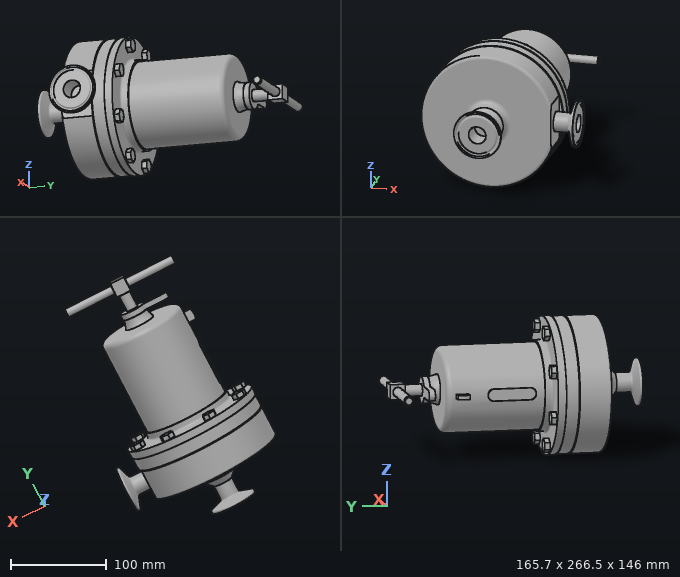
import cadquery as cq
import math


SELECTION_MARGIN = 0.3

FERRULE_RADIUS = 25.3
FERRULE_RIM = 3.0
FERRULE_SLOPE = 20.0
PIPE_RADIUS = 10.7
PIPE_FILLET = 2.0
BORE_RADIUS = 9.3
GROOVE_CENTRE_RADIUS = 21.8
GROOVE_RADIUS = 1.5
GROOVE_LIP_FILLET = 0.5
RIM_FILLET = 1.3

INLET_PIPE_END = 25.0
HUB_RADIUS = 19.2
HUB_START = 33.3
HUB_FILLET = 6.5

SIDE_PORT_Y = 63.1
SIDE_PORT_FACE_X = 92.7
SIDE_FLAT_X = 68.2

BODY_START = 43.0
BODY_RADIUS = 72.5
BODY_FILLET = 3.2
BODY_SPLIT = 77.3
SPLIT_GROOVE_WIDTH = 0.8
SPLIT_GROOVE_DEPTH = 0.5
FLANGE_START = 92.0
FLANGE_END = 100.7
FLANGE_RADIUS = 73.0

BOLT_COUNT = 8
HEX_SIDES = 6
BOLT_CIRCLE_RADIUS = 64.2
BOLT_FIRST_ANGLE = 22.5
BOLT_HEX_TWIST = 22.5
BOLT_ACROSS_CORNERS = 15.0
BOLT_HEIGHT = 5.5

NECK_RADIUS = 48.0
NECK_END = 109.2
NECK_FILLET = 3.0
HOUSING_RADIUS = 46.0
HOUSING_END = 214.5
HOUSING_FILLET = 6.7

CONE_BASE_RADIUS = 16.3
CONE_TOP_RADIUS = 13.9
COLLAR_START = 225.0
COLLAR_END = 231.5
COLLAR_RADIUS = 14.5
ARM_REACH = 40.0
ARM_HALF_WIDTH = 5.9
ARM_FILLET = 5.0

OVERALL_LENGTH = 266.5
STEM_RADIUS = 6.5
BLOCK_SIZE = 16.3
BAR_RADIUS = 5.0
BAR_LENGTH = 127.4
BAR_CHAMFER = 1.0

PIN_REACH = 55.2
PIN_CORNER_REACH = 53.8
PIN_START = 191.0
PIN_LENGTH = 12.8
PIN_THICKNESS = 4.5
PAD_REACH = 47.2
PAD_CENTRE = 144.5
PAD_LENGTH = 51.5
PAD_WIDTH = 12.8


def disc(radius, start, end):
    """Cylinder about the Y axis between two Y positions."""
    return cq.Workplane("XZ", origin=(0, start, 0)).circle(radius).extrude(start - end)


def ring_at(y, radius):
    """Selector for circular edges about the Y axis at one Y position, up to the given radius."""
    reach = radius + SELECTION_MARGIN
    return cq.selectors.BoxSelector(
        (-reach, y - SELECTION_MARGIN, -reach),
        (reach, y + SELECTION_MARGIN, reach),
        boundingbox=True,
    )


def ferrule(length):
    """Grooved clamp ferrule about the Y axis, face at Y = 0, with its pipe reaching to Y = length."""
    cone_rise = (FERRULE_RADIUS - PIPE_RADIUS) * math.tan(math.radians(FERRULE_SLOPE))
    cone_end = FERRULE_RIM + cone_rise
    body = (
        cq.Workplane("XY")
        .moveTo(0, 0)
        .lineTo(FERRULE_RADIUS, 0)
        .lineTo(FERRULE_RADIUS, FERRULE_RIM)
        .lineTo(PIPE_RADIUS, cone_end)
        .lineTo(PIPE_RADIUS, length)
        .lineTo(0, length)
        .close()
        .revolve(360, (0, 0, 0), (0, 1, 0))
    )
    body = body.edges(ring_at(cone_end, PIPE_RADIUS)).fillet(PIPE_FILLET)
    body = body.edges(ring_at(FERRULE_RIM, FERRULE_RADIUS)).fillet(RIM_FILLET)
    groove = (
        cq.Workplane("XY")
        .center(GROOVE_CENTRE_RADIUS, 0)
        .circle(GROOVE_RADIUS)
        .revolve(360, (-GROOVE_CENTRE_RADIUS, 0, 0), (-GROOVE_CENTRE_RADIUS, 1, 0))
    )
    body = body.cut(groove)
    lips = ring_at(0, GROOVE_CENTRE_RADIUS + GROOVE_RADIUS)
    return body.edges(lips).fillet(GROOVE_LIP_FILLET)


def inlet_hub():
    """Cone from the pipe to the hub, flaring into the body face."""
    flare_start = BODY_START - HUB_FILLET
    flare_radius = HUB_RADIUS + HUB_FILLET
    return (
        cq.Workplane("XY")
        .moveTo(0, INLET_PIPE_END)
        .lineTo(PIPE_RADIUS, INLET_PIPE_END)
        .lineTo(HUB_RADIUS, HUB_START)
        .lineTo(HUB_RADIUS, flare_start)
        .tangentArcPoint((flare_radius, BODY_START), relative=False)
        .lineTo(0, BODY_START)
        .close()
        .revolve(360, (0, 0, 0), (0, 1, 0))
    )


def inlet():
    return ferrule(INLET_PIPE_END).union(inlet_hub())


def side_port():
    reach = SIDE_PORT_FACE_X - SIDE_FLAT_X
    port = ferrule(reach).rotate((0, 0, 0), (0, 0, 1), 90)
    return port.translate((SIDE_PORT_FACE_X, SIDE_PORT_Y, 0))


def body():
    """Round body with a side flat and a fine split groove, under the bolted flange."""
    lower = disc(BODY_RADIUS, BODY_START, BODY_SPLIT).faces("<Y").edges().fillet(BODY_FILLET)
    height = BODY_SPLIT - BODY_START
    off_cut = (
        cq.Workplane("XY")
        .box(BODY_RADIUS, height, 2 * BODY_RADIUS, centered=(False, False, True))
        .translate((SIDE_FLAT_X, BODY_START, 0))
    )
    groove_end = BODY_SPLIT + SPLIT_GROOVE_WIDTH
    groove_floor = disc(BODY_RADIUS - SPLIT_GROOVE_DEPTH, BODY_SPLIT, groove_end)
    upper = disc(BODY_RADIUS, groove_end, FLANGE_START).union(groove_floor)
    flange = disc(FLANGE_RADIUS, FLANGE_START, FLANGE_END)
    return lower.cut(off_cut).union(upper).union(flange)


def bolts():
    heads = cq.Workplane("XY")
    for index in range(BOLT_COUNT):
        angle = BOLT_FIRST_ANGLE + index * 360 / BOLT_COUNT
        head = (
            cq.Workplane("XZ", origin=(0, FLANGE_END, 0))
            .transformed(rotate=(0, 0, angle))
            .center(BOLT_CIRCLE_RADIUS, 0)
            .transformed(rotate=(0, 0, BOLT_HEX_TWIST))
            .polygon(HEX_SIDES, BOLT_ACROSS_CORNERS)
            .extrude(-BOLT_HEIGHT)
        )
        heads = heads.add(head)
    return heads.combine()


def housing():
    neck_foot = FLANGE_END + NECK_FILLET
    neck = (
        cq.Workplane("XY")
        .moveTo(0, FLANGE_END)
        .lineTo(NECK_RADIUS + NECK_FILLET, FLANGE_END)
        .radiusArc((NECK_RADIUS, neck_foot), NECK_FILLET)
        .lineTo(NECK_RADIUS, NECK_END)
        .lineTo(0, NECK_END)
        .close()
        .revolve(360, (0, 0, 0), (0, 1, 0))
    )
    barrel = disc(HOUSING_RADIUS, NECK_END, HOUSING_END).faces(">Y").edges().fillet(HOUSING_FILLET)
    return neck.union(barrel)


def collar_cone():
    """Concave cone, running vertical where it meets the collar."""
    return (
        cq.Workplane("XY")
        .moveTo(CONE_TOP_RADIUS, COLLAR_END)
        .lineTo(CONE_TOP_RADIUS, COLLAR_START)
        .tangentArcPoint((CONE_BASE_RADIUS, HOUSING_END), relative=False)
        .lineTo(0, HOUSING_END)
        .lineTo(0, COLLAR_END)
        .close()
        .revolve(360, (0, 0, 0), (0, 1, 0))
    )


def collar():
    height = COLLAR_END - COLLAR_START
    arm_length = ARM_REACH - ARM_HALF_WIDTH
    plane = cq.Workplane("XZ", origin=(0, COLLAR_START, 0))
    ring = plane.circle(COLLAR_RADIUS).extrude(-height)
    bar = plane.center(-arm_length / 2, 0).rect(arm_length, 2 * ARM_HALF_WIDTH).extrude(-height)
    tip = plane.center(-arm_length, 0).circle(ARM_HALF_WIDTH).extrude(-height)
    root_x = -math.sqrt(COLLAR_RADIUS**2 - ARM_HALF_WIDTH**2)
    root = cq.selectors.BoxSelector(
        (root_x - SELECTION_MARGIN, COLLAR_START, -COLLAR_RADIUS),
        (root_x + SELECTION_MARGIN, COLLAR_END, COLLAR_RADIUS),
    )
    plate = ring.union(bar).union(tip)
    plate = plate.edges(root).edges("|Y").fillet(ARM_FILLET)
    return plate.union(collar_cone())


def handle():
    block_y = OVERALL_LENGTH - BLOCK_SIZE / 2
    block = cq.Workplane("XY").box(BLOCK_SIZE, BLOCK_SIZE, BLOCK_SIZE).translate((0, block_y, 0))
    bar = (
        cq.Workplane("YZ", origin=(-BAR_LENGTH / 2, block_y, 0))
        .circle(BAR_RADIUS)
        .extrude(BAR_LENGTH)
        .faces("<X or >X")
        .chamfer(BAR_CHAMFER)
    )
    return disc(STEM_RADIUS, COLLAR_END, block_y).union(block).union(bar)


def pin():
    middle = PIN_START + PIN_LENGTH / 2
    end = PIN_START + PIN_LENGTH
    return (
        cq.Workplane("XY")
        .moveTo(0, PIN_START)
        .lineTo(-PIN_CORNER_REACH, PIN_START)
        .threePointArc((-PIN_REACH, middle), (-PIN_CORNER_REACH, end))
        .lineTo(0, end)
        .close()
        .extrude(PIN_THICKNESS / 2, both=True)
    )


def pad():
    return (
        cq.Workplane("YZ", origin=(-PAD_REACH, PAD_CENTRE, 0))
        .slot2D(PAD_LENGTH, PAD_WIDTH)
        .extrude(PAD_REACH)
    )


result = body()
for feature in (inlet(), side_port(), bolts(), housing(), collar(), handle(), pin(), pad()):
    result = result.union(feature)

inlet_bore = disc(BORE_RADIUS, 0, INLET_PIPE_END)
side_bore = (
    cq.Workplane("YZ", origin=(SIDE_FLAT_X, SIDE_PORT_Y, 0))
    .circle(BORE_RADIUS)
    .extrude(SIDE_PORT_FACE_X - SIDE_FLAT_X)
)
result = result.cut(inlet_bore).cut(side_bore)